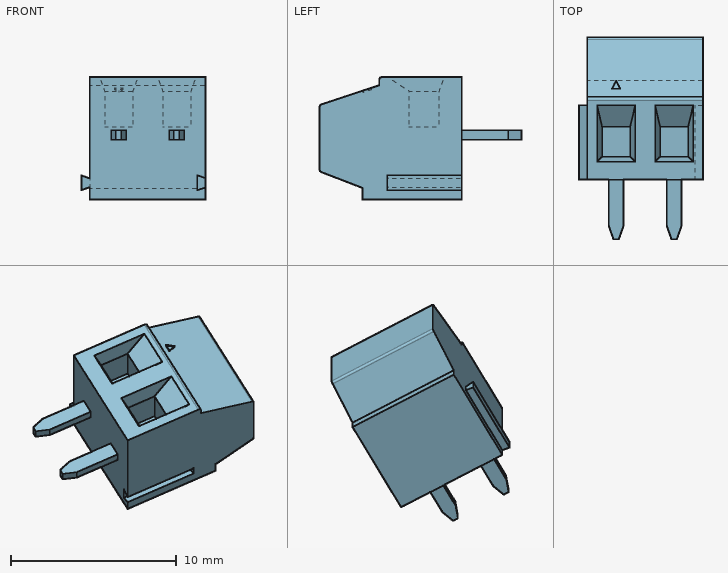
import cadquery as cq


pole_count = 2
pitch = 3.5

body_width = pole_count * pitch
body_height = 7.4
body_depth = 8.6
top_depth = 5.0
top_step = 0.5
bottom_depth = 6.0
bottom_step = 0.7
back_margin = 1.7
edge_radius = 0.2

overall_length = 12.2
pin_length = overall_length - body_depth
pin_width = 0.9
pin_thickness = 0.6
pin_bottom = 3.6
pin_taper = 0.8
pin_tip_width = 0.33

well_width = 2.3
well_front = 1.09
well_back = 4.5
funnel_inset = 0.3
funnel_back_inset = 1.3
funnel_depth = 0.85
well_depth = 3.0

rail_length = 4.5
rail_depth = 0.5
rail_bottom = 0.56
rail_wide = 0.9
rail_narrow = 0.55

mark_size = 0.5
mark_front = 5.48
mark_depth = 0.1

pole_positions = [(i - (pole_count - 1) / 2) * pitch for i in range(pole_count)]
back_top = body_height - back_margin
shoulder_height = body_height - top_step
upper_slope = (shoulder_height - back_top) / (body_depth - top_depth)


def make_body():
    profile = [
        (0, 0),
        (bottom_depth, 0),
        (bottom_depth, bottom_step),
        (body_depth, back_margin),
        (body_depth, back_top),
        (top_depth, shoulder_height),
        (top_depth, body_height),
        (0, body_height),
    ]
    body = cq.Workplane("YZ").polyline(profile).close().extrude(body_width / 2, both=True)
    body = body.faces(">Y").edges("|X").fillet(edge_radius)
    return body.faces(">Z").edges("|X and >Y").fillet(edge_radius)


def make_pin(x):
    """Flat pin with a tapered tip, rooted on the front face."""
    half_width = pin_width / 2
    half_tip = pin_tip_width / 2
    outline = [
        (x - half_width, 0),
        (x - half_width, pin_taper - pin_length),
        (x - half_tip, -pin_length),
        (x + half_tip, -pin_length),
        (x + half_width, pin_taper - pin_length),
        (x + half_width, 0),
    ]
    return cq.Workplane("XY", origin=(0, 0, pin_bottom)).polyline(outline).close().extrude(pin_thickness)


def make_well(x):
    """Volume of one well, from the top face down."""
    mouth_length = well_back - well_front
    shaft_width = well_width - 2 * funnel_inset
    shaft_front = well_front + funnel_inset
    shaft_back = well_back - funnel_back_inset
    shaft_length = shaft_back - shaft_front
    mouth_middle = (well_front + well_back) / 2
    shaft_middle = (shaft_front + shaft_back) / 2
    funnel = (
        cq.Workplane("XY", origin=(x, mouth_middle, body_height))
        .rect(well_width, mouth_length)
        .workplane(offset=-funnel_depth)
        .center(0, shaft_middle - mouth_middle)
        .rect(shaft_width, shaft_length)
        .loft(ruled=True)
    )
    shaft = (
        cq.Workplane("XY", origin=(x, shaft_middle, body_height - well_depth))
        .rect(shaft_width, shaft_length)
        .extrude(well_depth - funnel_depth)
    )
    return funnel.union(shaft)


def make_dovetail(root_x):
    """Dovetail bar whose narrow root lies at root_x and which widens towards -X."""
    middle = rail_bottom + rail_wide / 2
    outline = [
        (root_x, middle - rail_narrow / 2),
        (root_x - rail_depth, middle - rail_wide / 2),
        (root_x - rail_depth, middle + rail_wide / 2),
        (root_x, middle + rail_narrow / 2),
    ]
    return cq.Workplane("XZ").polyline(outline).close().extrude(-rail_length)


def make_mark(x):
    """Triangular prism reaching mark_depth below the upper slope, pointing to +Y."""
    outline = [
        (x - mark_size / 2, mark_front),
        (x + mark_size / 2, mark_front),
        (x, mark_front + mark_size),
    ]
    prism = cq.Workplane("XY").polyline(outline).close().extrude(body_height)
    floor_start = shoulder_height - mark_depth
    floor_end = floor_start - upper_slope * (body_depth - top_depth)
    below_floor = [
        (top_depth, 0),
        (top_depth, floor_start),
        (body_depth, floor_end),
        (body_depth, 0),
    ]
    core = cq.Workplane("YZ").polyline(below_floor).close().extrude(body_width / 2, both=True)
    return prism.cut(core)


result = make_body()
for pole_x in pole_positions:
    result = result.union(make_pin(pole_x))
    result = result.cut(make_well(pole_x))
result = result.union(make_dovetail(-body_width / 2))
result = result.cut(make_dovetail(body_width / 2))
result = result.cut(make_mark(pole_positions[0]))